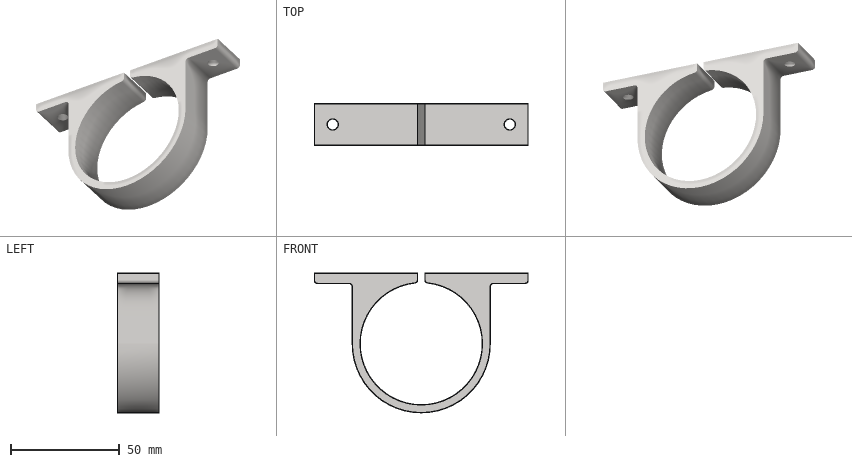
import cadquery as cq
import math

overall_length = 98.37
overall_height = 64.19
width = 19.23
outer_radius = 31.75
bore_radius = 28.05
flange_thickness = 4.75
split_gap = 3.25
corner_radius = 1.5
hole_diameter = 5.0
hole_spacing = 81.4

half_length = overall_length / 2
half_gap = split_gap / 2
top_z = overall_height - outer_radius
flange_bottom_z = top_z - flange_thickness
lip_z = math.sqrt(bore_radius**2 - half_gap**2)
arc_step = math.sqrt(0.5)


def make_clamp_body():
    """Split ring with straight shoulders and flanges, extruded across the width."""
    lip_angle = math.atan2(lip_z, half_gap)
    bore_mid_angle = (lip_angle - math.pi / 2) / 2
    bore_mid = (bore_radius * math.cos(bore_mid_angle), bore_radius * math.sin(bore_mid_angle))
    outer_mid = (outer_radius * arc_step, -outer_radius * arc_step)

    half = (
        cq.Workplane("XZ", origin=(0, width / 2, 0))
        .moveTo(0, -bore_radius)
        .threePointArc(bore_mid, (half_gap, lip_z))
        .lineTo(half_gap, top_z)
        .lineTo(half_length, top_z)
        .lineTo(half_length, flange_bottom_z)
        .lineTo(outer_radius, flange_bottom_z)
        .lineTo(outer_radius, 0)
        .threePointArc(outer_mid, (0, -outer_radius))
        .close()
        .extrude(width)
    )
    return half.union(half.mirror("YZ"))


def round_corners(body):
    """Round the lips at the split, the flange ends and the flange roots."""
    corners = [
        (half_gap, lip_z),
        (half_length, flange_bottom_z),
        (outer_radius, flange_bottom_z),
    ]
    for x, z in corners:
        for side in (-1, 1):
            edge = cq.selectors.NearestToPointSelector((side * x, 0, z))
            body = body.edges("|Y").edges(edge).fillet(corner_radius)
    return body


def drill_flanges(body):
    """Drill one vertical mounting hole through each flange."""
    drills = (
        cq.Workplane("XY", origin=(0, 0, flange_bottom_z))
        .pushPoints([(-hole_spacing / 2, 0), (hole_spacing / 2, 0)])
        .circle(hole_diameter / 2)
        .extrude(flange_thickness)
    )
    return body.cut(drills)


result = drill_flanges(round_corners(make_clamp_body().clean()))